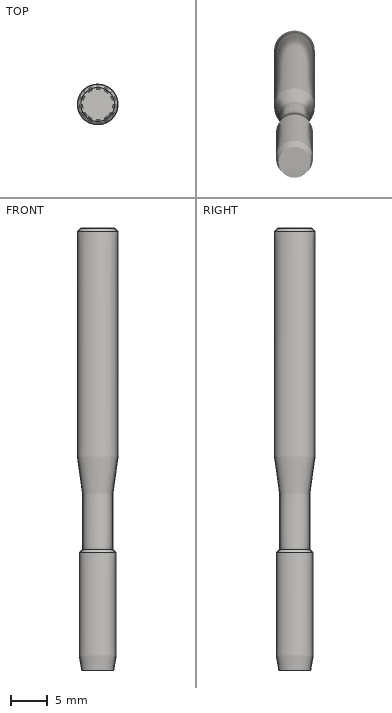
import cadquery as cq

TOTAL_LENGTH = 60.0

HEAD_DIAMETER = 5.0
TIP_DIAMETER = 4.3
LEAD_LENGTH = 2.0
HEAD_CYLINDER_TOP = 16.0

NECK_DIAMETER = 4.1
TAPER_BOTTOM = 24.0
TAPER_TOP = 29.0
SHANK_DIAMETER = 5.5
SHANK_CHAMFER = 0.45

head_top = HEAD_CYLINDER_TOP + (HEAD_DIAMETER - NECK_DIAMETER) / 2


def turned_body(half_profile):
    """Revolve (radius, height) points a full turn about the Z axis."""
    outline = cq.Workplane("XZ").polyline(half_profile).close()
    return outline.revolve(360, (0, 0), (0, 1))


def make_cutting_head():
    """Working end of the tool: tapered lead, cylinder and rear bevel."""
    head_radius = HEAD_DIAMETER / 2
    return turned_body([
        (0, 0),
        (TIP_DIAMETER / 2, 0),
        (head_radius, LEAD_LENGTH),
        (head_radius, HEAD_CYLINDER_TOP),
        (NECK_DIAMETER / 2, head_top),
        (0, head_top),
    ])


def make_shank():
    """Neck standing on the head, widening through a cone to the chamfered shank."""
    neck_radius = NECK_DIAMETER / 2
    shank_radius = SHANK_DIAMETER / 2
    return turned_body([
        (0, head_top),
        (neck_radius, head_top),
        (neck_radius, TAPER_BOTTOM),
        (shank_radius, TAPER_TOP),
        (shank_radius, TOTAL_LENGTH - SHANK_CHAMFER),
        (shank_radius - SHANK_CHAMFER, TOTAL_LENGTH),
        (0, TOTAL_LENGTH),
    ])


cutting_head = make_cutting_head()
shank = make_shank()

result = cq.Compound.makeCompound([cutting_head.val(), shank.val()])